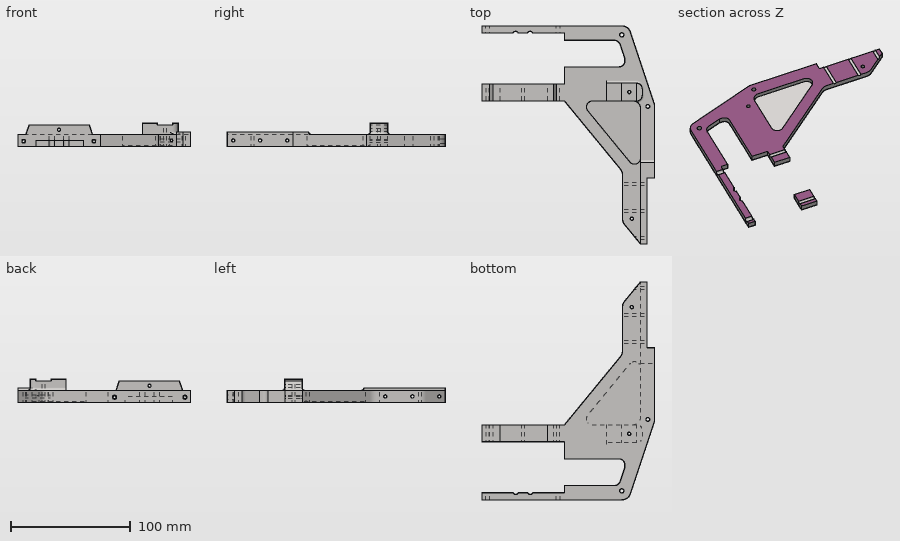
import cadquery as cq
import math

LENGTH_X = 144.4
LENGTH_Y = 182.21
PLATE_HEIGHT = 10.2

ARM_LENGTH = 69.0
BACK_ARM_WIDTH = 6.2
FRONT_ARM_BACK = -48.5
FRONT_ARM_FRONT = -62.8
LEG_LEFT = 117.4
RAIL_LEFT = 132.5
RAIL_TIP_RIGHT = 138.1
RAIL_STEP_Y = -127.2
DIAGONAL_ANGLE = 39.4
LEG_CORNER_RADIUS = 8.0
SIDE_CORNER_Y = -66.0
SIDE_SLOPE = 1 / 3
BACK_CORNER_RADIUS = 7.5

SLOT_BACK = -12.2
SLOT_FRONT = -34.2
SLOT_RIGHT = 119.3
SLOT_BEND_Y = -27.1
SLOT_BACK_RADIUS = 5.0
SLOT_FRONT_RADIUS = 4.6

POCKET_FLOOR = 1.0
POCKET_WALL = 9.9
POCKET_TIP_RADIUS = 5.0
POCKET_BOSS_RADIUS = 6.0

BLOCK_TOP = 18.2
BLOCK_BASE_X = (6.6, 62.4)
BLOCK_TOP_X = (9.5, 59.8)
RECESS_X = (15.0, 55.0)
RECESS_HEIGHT = 5.2

NOTCH_X = (28.3, 40.4)
NOTCH_RADIUS = 2.4
NOTCH_DEPTH = 1.5

BOSS_LEFT = 104.1
BOSS_RIGHT = 134.0
BOSS_BACK = -47.9
BOSS_TOP = 19.5
BOSS_CORNER_RADIUS = 4.7
BOSS_SEAT_X = (116.5, 129.3)
BOSS_SEAT_HEIGHT = 18.2
FOOT_FILLET = 2.0

RAIL_TOP = 12.2
RAIL_BACK = -114.1

PLATE_HOLES = ((116.9, -7.6, 3.4), (138.7, -67.3, 3.0), (123.1, -55.3, 2.5), (125.3, -161.1, 2.5))
ARM_HOLE_X = (4.8, 63.6)
ARM_HOLE_HEIGHT = 4.5
BACK_ARM_HOLE_DIAMETER = 3.5
BLOCK_HOLE_X = 34.4
BLOCK_HOLE_HEIGHT = 14.0
CROSS_HOLE_DIAMETER = 2.5
LEG_HOLE_Y = (-132.1, -154.7, -177.2)
LEG_HOLE_HEIGHT = 5.1

SELECT_REACH = 0.1
DIAGONAL_SLOPE = math.tan(math.radians(DIAGONAL_ANGLE))


def prism(points, bottom, top):
    """Upright prism over a closed outline."""
    return cq.Workplane("XY").workplane(offset=bottom).polyline(points).close().extrude(top - bottom)


def box(x_range, y_range, z_range):
    """Box between pairs of limits."""
    size = [abs(b - a) for a, b in (x_range, y_range, z_range)]
    corner = [min(limits) for limits in (x_range, y_range, z_range)]
    return cq.Workplane("XY").box(*size, centered=False).translate(tuple(corner))


def round_corner(solid, corner, radius):
    """Fillet the vertical edge standing at one plan corner."""
    x, y = corner
    low = (x - SELECT_REACH, y - SELECT_REACH, 0)
    high = (x + SELECT_REACH, y + SELECT_REACH, BOSS_TOP)
    return solid.edges("|Z").edges(cq.selectors.BoxSelector(low, high)).fillet(radius)


def make_plate():
    back_corner = (LENGTH_X + SIDE_SLOPE * SIDE_CORNER_Y, 0)
    leg_back = (LEG_LEFT, FRONT_ARM_FRONT - (LEG_LEFT - ARM_LENGTH) / DIAGONAL_SLOPE)
    leg_front = (LEG_LEFT, -LENGTH_Y + (RAIL_LEFT - LEG_LEFT) / DIAGONAL_SLOPE)
    slot_back = (SLOT_RIGHT - SIDE_SLOPE * (SLOT_BACK - SLOT_BEND_Y), SLOT_BACK)
    slot_front = (SLOT_RIGHT, SLOT_FRONT)
    outline = [
        (0, 0),
        back_corner,
        (LENGTH_X, SIDE_CORNER_Y),
        (LENGTH_X, RAIL_STEP_Y),
        (RAIL_TIP_RIGHT, RAIL_STEP_Y),
        (RAIL_TIP_RIGHT, -LENGTH_Y),
        (RAIL_LEFT, -LENGTH_Y),
        leg_front,
        leg_back,
        (ARM_LENGTH, FRONT_ARM_FRONT),
        (0, FRONT_ARM_FRONT),
        (0, FRONT_ARM_BACK),
        (ARM_LENGTH, FRONT_ARM_BACK),
        (ARM_LENGTH, SLOT_FRONT),
        slot_front,
        (SLOT_RIGHT, SLOT_BEND_Y),
        slot_back,
        (ARM_LENGTH, SLOT_BACK),
        (ARM_LENGTH, -BACK_ARM_WIDTH),
        (0, -BACK_ARM_WIDTH),
    ]
    plate = prism(outline, 0, PLATE_HEIGHT)
    plate = round_corner(plate, back_corner, BACK_CORNER_RADIUS)
    for corner in (leg_back, leg_front):
        plate = round_corner(plate, corner, LEG_CORNER_RADIUS)
    plate = round_corner(plate, slot_back, SLOT_BACK_RADIUS)
    return round_corner(plate, slot_front, SLOT_FRONT_RADIUS)


def make_pocket():
    """Cutter for the triangular pocket; its hypotenuse is parallel to the diagonal edge."""
    shift = POCKET_WALL / math.cos(math.radians(DIAGONAL_ANGLE))
    left = ARM_LENGTH + shift
    tip_y = FRONT_ARM_FRONT - (RAIL_LEFT - left) / DIAGONAL_SLOPE
    left_tip = (left, FRONT_ARM_FRONT)
    boss_corner = (RAIL_LEFT, FRONT_ARM_FRONT)
    front_tip = (RAIL_LEFT, tip_y)
    pocket = prism([left_tip, boss_corner, front_tip], POCKET_FLOOR, RAIL_TOP)
    pocket = round_corner(pocket, boss_corner, POCKET_BOSS_RADIUS)
    for tip in (left_tip, front_tip):
        pocket = round_corner(pocket, tip, POCKET_TIP_RADIUS)
    return pocket


def make_arm_block():
    profile = [
        (BLOCK_BASE_X[0], PLATE_HEIGHT),
        (BLOCK_TOP_X[0], BLOCK_TOP),
        (BLOCK_TOP_X[1], BLOCK_TOP),
        (BLOCK_BASE_X[1], PLATE_HEIGHT),
    ]
    block = cq.Workplane("XZ", origin=(0, FRONT_ARM_BACK, 0)).polyline(profile).close()
    return block.extrude(FRONT_ARM_BACK - FRONT_ARM_FRONT)


def make_boss_core(bottom, top):
    """Boss footprint, rounded at both right corners."""
    core = box((BOSS_LEFT, BOSS_RIGHT), (FRONT_ARM_FRONT, BOSS_BACK), (bottom, top))
    return core.edges("|Z and >X").fillet(BOSS_CORNER_RADIUS)


def make_boss():
    """Boss with a lowered seat across its top."""
    seat = box(BOSS_SEAT_X, (FRONT_ARM_FRONT, BOSS_BACK), (BOSS_SEAT_HEIGHT, BOSS_TOP))
    return make_boss_core(PLATE_HEIGHT, BOSS_TOP).cut(seat)


def make_boss_foot():
    """Concave fillet skirt around the back, right and front of the boss."""
    margin = 2 * FOOT_FILLET
    x_range = (BOSS_LEFT, BOSS_RIGHT + margin)
    y_range = (FRONT_ARM_FRONT - margin, BOSS_BACK + margin)
    skirt = box(x_range, y_range, (0, PLATE_HEIGHT)).union(make_boss_core(0, BOSS_TOP))
    foot_edges = cq.selectors.BoxSelector(
        (BOSS_LEFT + SELECT_REACH, FRONT_ARM_FRONT - SELECT_REACH, PLATE_HEIGHT - SELECT_REACH),
        (BOSS_RIGHT + SELECT_REACH, BOSS_BACK + SELECT_REACH, PLATE_HEIGHT + SELECT_REACH),
    )
    skirt = skirt.edges(foot_edges).fillet(FOOT_FILLET)
    return skirt.intersect(box(x_range, y_range, (PLATE_HEIGHT, PLATE_HEIGHT + FOOT_FILLET)))


def make_rail():
    """Raised rail on the right of the leg, with a concave run-up at its back end."""
    height = RAIL_TOP - PLATE_HEIGHT
    profile = (
        cq.Workplane("YZ", origin=(RAIL_LEFT, 0, 0))
        .moveTo(-LENGTH_Y, PLATE_HEIGHT)
        .lineTo(RAIL_BACK + height, PLATE_HEIGHT)
        .radiusArc((RAIL_BACK, RAIL_TOP), height)
        .lineTo(-LENGTH_Y, RAIL_TOP)
        .close()
    )
    rail = profile.extrude(LENGTH_X - RAIL_LEFT)
    return rail.cut(box((RAIL_TIP_RIGHT, LENGTH_X), (-LENGTH_Y, RAIL_STEP_Y), (0, RAIL_TOP)))


def make_notches():
    centre_y = -BACK_ARM_WIDTH + NOTCH_DEPTH - NOTCH_RADIUS
    centres = [(x, centre_y) for x in NOTCH_X]
    return cq.Workplane("XY").pushPoints(centres).circle(NOTCH_RADIUS).extrude(PLATE_HEIGHT)


def hole_along_y(x, z, diameter, y_front, y_back):
    """Cutter between two Y positions."""
    hole = cq.Workplane("XZ", origin=(0, y_back, 0)).center(x, z)
    return hole.circle(diameter / 2).extrude(y_back - y_front)


def hole_along_x(y, z):
    """Cutter through the leg and rail."""
    hole = cq.Workplane("YZ", origin=(LEG_LEFT, 0, 0)).center(y, z)
    return hole.circle(CROSS_HOLE_DIAMETER / 2).extrude(LENGTH_X - LEG_LEFT)


result = make_plate()
result = result.union(make_boss_foot()).cut(make_pocket())
result = result.union(make_boss()).union(make_arm_block()).union(make_rail())
result = result.cut(make_notches())
result = result.cut(box(RECESS_X, (FRONT_ARM_FRONT, FRONT_ARM_BACK), (0, RECESS_HEIGHT)))
for hole_x, hole_y, diameter in PLATE_HOLES:
    result = result.cut(cq.Workplane("XY").center(hole_x, hole_y).circle(diameter / 2).extrude(BOSS_TOP))
for hole_x in ARM_HOLE_X:
    result = result.cut(
        hole_along_y(hole_x, ARM_HOLE_HEIGHT, CROSS_HOLE_DIAMETER, FRONT_ARM_FRONT, FRONT_ARM_BACK)
    )
    result = result.cut(hole_along_y(hole_x, ARM_HOLE_HEIGHT, BACK_ARM_HOLE_DIAMETER, -BACK_ARM_WIDTH, 0))
result = result.cut(
    hole_along_y(BLOCK_HOLE_X, BLOCK_HOLE_HEIGHT, CROSS_HOLE_DIAMETER, FRONT_ARM_FRONT, FRONT_ARM_BACK)
)
for hole_y in LEG_HOLE_Y:
    result = result.cut(hole_along_x(hole_y, LEG_HOLE_HEIGHT))